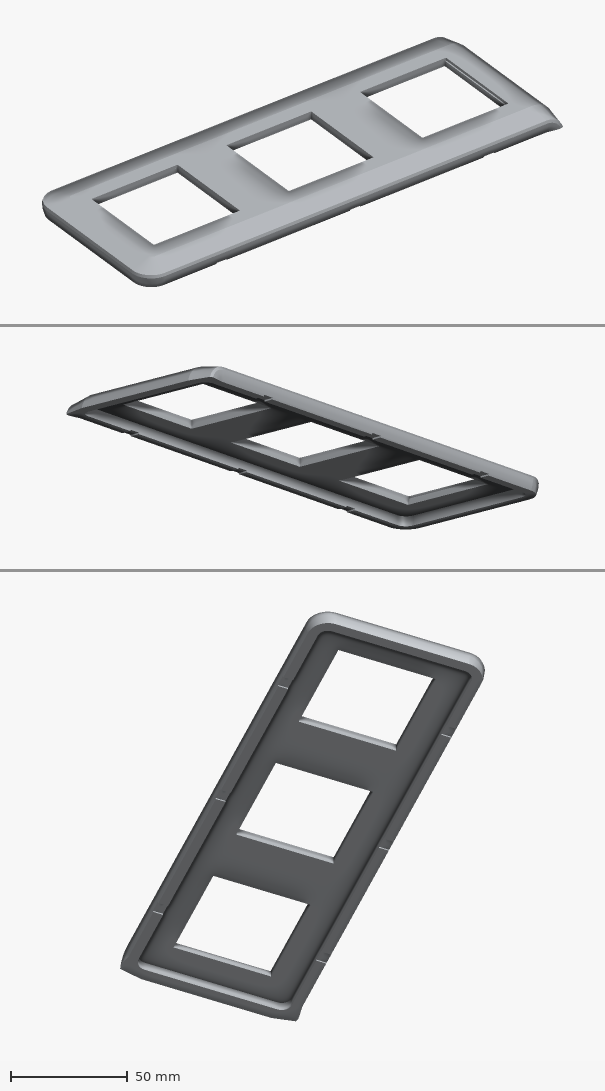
import cadquery as cq
import math

width = 82.0
length = 224.0
height = 8.5

border = 11.0
border_drop = 2.0
cover_thickness = 1.3
rim_bevel = 0.5
corner_radius = 10.3
crease_radius = 1.8

wall_lean = 1.1
plate_underside = 4.5
hollow_inset = 5.5

window_rows = (-1, 0, 1)
window_size = 45.0
window_pitch = 71.0
window_step = 0.7
notch_width = 5.5
notch_height = 0.7

half_width = width / 2
flat_half_width = half_width - border
front_y = -length / 2
corner_x = half_width - corner_radius
corner_y = front_y + corner_radius
bend_y = length / 2 - border
rim_top = height - border_drop
rim_bottom = rim_top - cover_thickness
base_top = height - cover_thickness

bend_axis_z = (height**2 - border**2) / (2 * height)
wall_radius = (rim_bottom**2 + wall_lean**2) / (2 * wall_lean)


def plan_outline(inset, radius, z):
    """Plan outline with two rounded front corners and a straight back edge at the bend."""
    x = half_width - inset
    y = front_y + inset
    diagonal = radius * (1 - math.sqrt(0.5))
    return (
        cq.Workplane("XY", origin=(0, 0, z))
        .moveTo(-x, bend_y)
        .lineTo(-x, y + radius)
        .threePointArc((-x + diagonal, y + diagonal), (-x + radius, y))
        .lineTo(x - radius, y)
        .threePointArc((x - diagonal, y + diagonal), (x, y + radius))
        .lineTo(x, bend_y)
        .close()
        .val()
    )


def sloped_layer(lower, upper):
    """Solid with straight-ruled sides between two plan outlines."""
    return cq.Workplane(cq.Solid.makeLoft([lower, upper], True))


def rounded_back(section):
    """Turn an XZ section about the bend axis into the back end, cut off at the ground."""
    turned = section.revolve(90, (0, bend_axis_z, 0), (-1, bend_axis_z, 0))
    below_ground = cq.Workplane("XY").box(2 * width, 2 * length, 2 * height).translate((0, 0, -height))
    return turned.cut(below_ground)


def section_plane(y):
    """Workplane for a cross-section at the given Y, facing the front."""
    return cq.Workplane("XZ", origin=(0, y, 0))


def window(row, top_extra):
    """Cutter for one square window, lengthened outwards by top_extra."""
    return (
        cq.Workplane("XY")
        .box(window_size, window_size + top_extra, 3 * height)
        .translate((0, row * (window_pitch + top_extra / 2), 0))
    )


def cover_front():
    """Flat middle, side borders and front border, as a sheet lying on the base roof."""
    crease = plan_outline(border, crease_radius, height)
    rim_upper = plan_outline(rim_bevel, corner_radius - rim_bevel, rim_top)
    rim_lower = plan_outline(0, corner_radius, rim_bottom)
    outside = sloped_layer(rim_upper, crease).union(sloped_layer(rim_lower, rim_upper))
    return outside.cut(base_roof())


def cover_back():
    """Back end of the cover, curving down to the ground."""
    section = section_plane(bend_y).polyline([
        (-half_width, rim_bottom),
        (-half_width + rim_bevel, rim_top),
        (-flat_half_width, height),
        (flat_half_width, height),
        (half_width - rim_bevel, rim_top),
        (half_width, rim_bottom),
        (flat_half_width, base_top),
        (-flat_half_width, base_top),
    ]).close()
    return rounded_back(section)


def make_cover():
    cover = cover_front().union(cover_back())
    for row in window_rows:
        cover = cover.cut(window(row, abs(row) * window_step))
    return cover


def base_roof():
    """Upper part of the base, filling the underside of the cover."""
    return sloped_layer(
        plan_outline(0, corner_radius, rim_bottom),
        plan_outline(border, crease_radius, base_top),
    )


def wall_midpoint(outer):
    """Point on the curved outer wall halfway round its arc, for a rim at distance outer."""
    half_angle = math.asin(rim_bottom / wall_radius) / 2
    return (
        outer - wall_radius * (1 - math.cos(half_angle)),
        rim_bottom - wall_radius * math.sin(half_angle),
    )


def wall_section(plane, outer):
    """Half section of the skirt, from the centre out to the curved wall."""
    return (
        plane.moveTo(0, 0)
        .lineTo(outer - wall_lean, 0)
        .threePointArc(wall_midpoint(outer), (outer, rim_bottom))
        .lineTo(0, rim_bottom)
        .close()
    )


def base_skirt():
    """Lower part of the base: straight sides, straight front and two round corners."""
    half = wall_section(section_plane(bend_y), half_width).extrude(bend_y - corner_y)
    skirt = half.union(half.mirror("YZ"))
    front_plane = cq.Workplane(
        cq.Plane(origin=(corner_x, corner_y, 0), xDir=(0, -1, 0), normal=(-1, 0, 0))
    )
    skirt = skirt.union(wall_section(front_plane, corner_radius).extrude(2 * corner_x))
    for x in (-corner_x, corner_x):
        corner_plane = cq.Workplane("XZ", origin=(x, corner_y, 0))
        skirt = skirt.union(wall_section(corner_plane, corner_radius).revolve(360, (0, 0, 0), (0, 1, 0)))
    return skirt


def base_back():
    """Back end of the base, filling the curve of the cover."""
    foot = half_width - wall_lean
    mid_x, mid_z = wall_midpoint(half_width)
    section = (
        section_plane(bend_y)
        .moveTo(-foot, bend_axis_z)
        .lineTo(-foot, 0)
        .threePointArc((-mid_x, mid_z), (-half_width, rim_bottom))
        .lineTo(-flat_half_width, base_top)
        .lineTo(flat_half_width, base_top)
        .lineTo(half_width, rim_bottom)
        .threePointArc((mid_x, mid_z), (foot, 0))
        .lineTo(foot, bend_axis_z)
        .close()
    )
    return rounded_back(section)


def hollow():
    """Cutter for the recess under the base, which leaves the outer wall standing."""
    return (
        cq.Workplane("XY")
        .rect(width - 2 * hollow_inset, length - 2 * hollow_inset)
        .extrude(plate_underside)
        .edges("|Z")
        .fillet(corner_radius - hollow_inset)
    )


def notch(row):
    """Cutter for a shallow notch through both side walls, in line with a window."""
    return (
        cq.Workplane("XY")
        .box(2 * width, notch_width, 2 * notch_height)
        .translate((0, row * window_pitch, 0))
    )


def make_base():
    base = base_skirt().union(base_roof()).union(base_back()).cut(hollow())
    for row in window_rows:
        base = base.cut(window(row, 0)).cut(notch(row))
    return base


cover = make_cover()
base = make_base()

result = cq.Compound.makeCompound([*cover.solids().vals(), *base.solids().vals()])